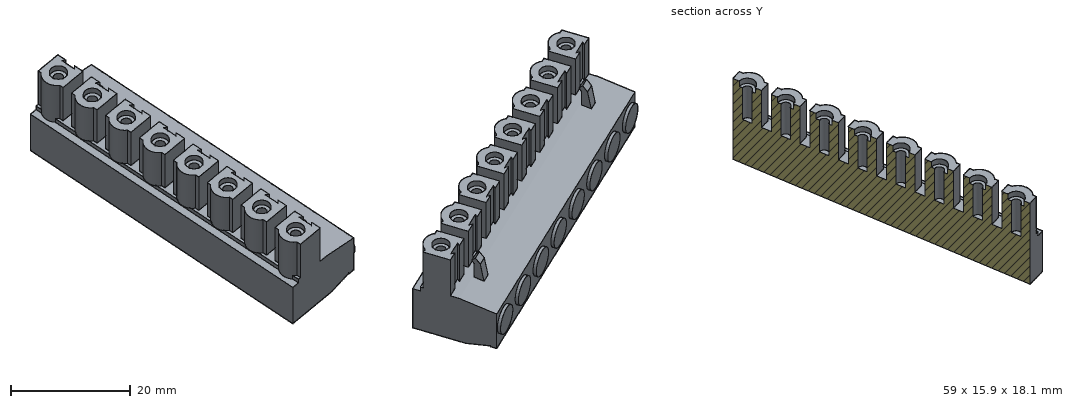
import cadquery as cq


LENGTH = 58.95
DEPTH = 15.9
HEIGHT = 18.15

POLES = 8
TOWER_WIDTH = 5.7
FIRST_POLE_X = 2.8
LAST_POLE_X = LENGTH - TOWER_WIDTH / 2
PITCH = (LAST_POLE_X - FIRST_POLE_X) / (POLES - 1)
POLE_XS = [FIRST_POLE_X + i * PITCH for i in range(POLES)]

BOSS_PROJECTION = 0.6
BOSS_DIAMETER = 5.25
BOSS_Z = 5.35

BACK_Y = DEPTH - BOSS_PROJECTION
LEDGE_DEPTH = 1.4
LEDGE_Z = 9.0
DECK_Z = 9.9
DECK_BACK_Y = 8.55
BACK_TOP_Z = 8.85
BACK_BOTTOM_Z = 0.9
LIP_DEPTH = 1.2
LIP_STEP = 0.2
BASE_BACK_Y = 9.75

TOWER_FRONT_Y = 1.95
TOWER_BACK_Y = 6.9
ROUND_FRONT_Y = 0.9
ROUND_WIDTH = 4.2

DOVETAIL_DEPTH = 0.55
DOVETAIL_MOUTH = 1.9
DOVETAIL_FLOOR = 2.85

SCREW_Y = 3.95
HEAD_RADIUS = 1.55
HEAD_DEPTH = 1.2
BORE_RADIUS = 0.9
BORE_DEPTH = HEIGHT - DECK_Z

LATCH_WIDTH = 1.7
LATCH_XS = [POLE_XS[0] + PITCH / 2, POLE_XS[-1] - PITCH / 2]
LATCH_ROOT_Z = BACK_TOP_Z
LATCH_FRONT_Y = 8.7
LATCH_BACK_Y = 10.7
LATCH_SHOULDER = (9.85, 13.25)
LATCH_TIP = (8.95, 14.35)
LATCH_HOOK = (8.3, 13.6)
LATCH_NECK_Z = 12.9


def housing():
    """Side profile extruded along the whole row."""
    profile = [
        (0, 0),
        (0, LEDGE_Z),
        (LEDGE_DEPTH, LEDGE_Z),
        (LEDGE_DEPTH, DECK_Z),
        (DECK_BACK_Y, DECK_Z),
        (BACK_Y, BACK_TOP_Z),
        (BACK_Y, BACK_BOTTOM_Z),
        (BACK_Y - LIP_DEPTH, BACK_BOTTOM_Z),
        (BACK_Y - LIP_DEPTH, BACK_BOTTOM_Z + LIP_STEP),
        (BASE_BACK_Y, 0),
    ]
    return cq.Workplane("YZ").polyline(profile).close().extrude(LENGTH)


def round_front(x, bottom_z):
    """Bowed front of a tower, from bottom_z up to the top."""
    return (
        cq.Workplane("XY", origin=(x, 0, bottom_z))
        .moveTo(-ROUND_WIDTH / 2, TOWER_FRONT_Y)
        .threePointArc((0, ROUND_FRONT_Y), (ROUND_WIDTH / 2, TOWER_FRONT_Y))
        .close()
        .extrude(HEIGHT - bottom_z)
    )


def tower_block(x):
    """Rectangular tower, trimmed flush with the ends of the housing."""
    left_x = max(x - TOWER_WIDTH / 2, 0)
    right_x = min(x + TOWER_WIDTH / 2, LENGTH)
    return cq.Workplane("XY").box(
        right_x - left_x, TOWER_BACK_Y - TOWER_FRONT_Y, HEIGHT - DECK_Z, centered=False
    ).translate((left_x, TOWER_FRONT_Y, DECK_Z))


def dovetail(x):
    """Groove cutter, wider at its floor than at the tower's back face."""
    floor_y = TOWER_BACK_Y - DOVETAIL_DEPTH
    outline = [
        (-DOVETAIL_MOUTH / 2, TOWER_BACK_Y),
        (-DOVETAIL_FLOOR / 2, floor_y),
        (DOVETAIL_FLOOR / 2, floor_y),
        (DOVETAIL_MOUTH / 2, TOWER_BACK_Y),
    ]
    plane = cq.Workplane("XY", origin=(x, 0, DECK_Z))
    return plane.polyline(outline).close().extrude(HEIGHT - DECK_Z)


def screw_hole(x):
    """Cutter for the screw head recess and the bore below it."""
    top = cq.Workplane("XY", origin=(x, SCREW_Y, HEIGHT))
    head = top.circle(HEAD_RADIUS).extrude(-HEAD_DEPTH)
    bore = top.circle(BORE_RADIUS).extrude(-BORE_DEPTH)
    return head.union(bore)


def wire_boss(x):
    """Round boss reaching from the back face to the full depth."""
    plane = cq.Workplane("XZ", origin=(x, BACK_Y, BOSS_Z))
    return plane.circle(BOSS_DIAMETER / 2).extrude(-BOSS_PROJECTION)


def latch(x):
    """Hooked snap latch rising from the deck."""
    profile = [
        (LATCH_FRONT_Y, LATCH_ROOT_Z),
        (LATCH_BACK_Y, LATCH_ROOT_Z),
        LATCH_SHOULDER,
        LATCH_TIP,
        LATCH_HOOK,
        (LATCH_FRONT_Y, LATCH_NECK_Z),
    ]
    plane = cq.Workplane("YZ", origin=(x - LATCH_WIDTH / 2, 0, 0))
    return plane.polyline(profile).close().extrude(LATCH_WIDTH)


result = housing()

for pole_x in POLE_XS:
    is_end = pole_x in (POLE_XS[0], POLE_XS[-1])
    front_bottom_z = LEDGE_Z if is_end else DECK_Z
    result = result.union(tower_block(pole_x))
    result = result.union(round_front(pole_x, front_bottom_z))
    result = result.cut(dovetail(pole_x))
    result = result.cut(screw_hole(pole_x))
    result = result.union(wire_boss(pole_x))

for latch_x in LATCH_XS:
    result = result.union(latch(latch_x))